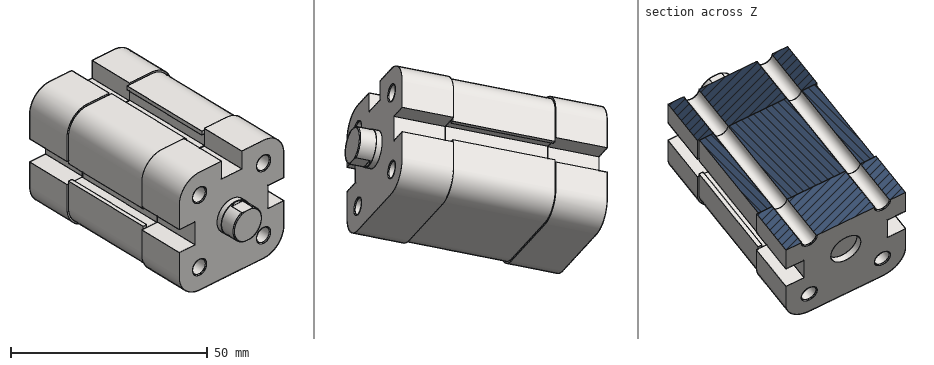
import cadquery as cq


total_length = 63.0
cap_length = 14.25
tube_length = 28.35
tube_start = cap_length
front_cap_start = tube_start + tube_length
front_face = front_cap_start + cap_length

cap_width = 36.0
cap_corner_radius = 7.0
tube_inset = 0.5
tube_width = cap_width - 2 * tube_inset
tube_corner_radius = cap_corner_radius - tube_inset

screw_spacing = cap_width - 2 * cap_corner_radius
screw_diameter = 4.35
screw_mouth_diameter = 4.85
screw_chamfer = (screw_mouth_diameter - screw_diameter) / 2

slot_width = 7.0
cap_slot_floor = 12.55
tube_slot_mouth = 5.3
tube_slot_floor = 12.8
slot_lip = 1.2
slot_angles = (-90, 0, 90)

recess_diameter = 9.0
recess_depth = 1.9

rod_diameter = 10.0
rod_tip_diameter = 9.75
rod_shoulder_length = 1.6
rod_step = front_face + rod_shoulder_length
rod_flat_width = 9.0
rod_flat_ramp = (rod_diameter - rod_flat_width) / 2
rod_end_chamfer = 0.25


def square_bar(start, length, width, corner_radius):
    """Bar along X with rounded long edges."""
    return (
        cq.Workplane("YZ", origin=(start, 0, 0))
        .rect(width, width)
        .extrude(length)
        .edges("|X")
        .fillet(corner_radius)
    )


def slot_cutters(start, length, width, floor, top):
    """Rectangular cutters along X on the top and both sides, from floor to top."""
    cutter = cq.Workplane("XY").box(length, width, top - floor, centered=(False, True, False))
    cutter = cutter.translate((start, 0, floor))
    cutters = cq.Workplane("XY")
    for angle in slot_angles:
        cutters.add(cutter.rotate((0, 0, 0), (1, 0, 0), angle))
    return cutters.combine()


def screw_holes(start, length):
    """Four plain cylinders for the screw holes."""
    return (
        cq.Workplane("YZ", origin=(start, 0, 0))
        .rect(screw_spacing, screw_spacing, forConstruction=True)
        .vertices()
        .circle(screw_diameter / 2)
        .extrude(length)
    )


def end_cap(start, outer_face_selector):
    """Cap with three slots and four screw holes that are chamfered on its outer face."""
    cap = square_bar(start, cap_length, cap_width, cap_corner_radius)
    cap = cap.cut(slot_cutters(start, cap_length, slot_width, cap_slot_floor, cap_width / 2))
    cap = cap.cut(screw_holes(start, cap_length))
    screw_mouths = cap.faces(outer_face_selector).edges("%CIRCLE").edges(cq.selectors.RadiusNthSelector(0))
    return screw_mouths.chamfer(screw_chamfer)


def make_rear_cap():
    """Rear cap with a shallow round recess in its outer face."""
    recess = cq.Workplane("YZ").circle(recess_diameter / 2).extrude(recess_depth)
    return end_cap(0, "<X").cut(recess)


def make_front_cap():
    """Front cap with a through bore for the rod."""
    bore = cq.Workplane("YZ", origin=(front_cap_start, 0, 0)).circle(rod_diameter / 2).extrude(cap_length)
    return end_cap(front_cap_start, ">X").cut(bore)


def make_tube():
    """Tube whose slots are narrowed at the mouth by a lip on each side."""
    tube_half = tube_width / 2
    lip_underside = tube_half - slot_lip
    tube = square_bar(tube_start, tube_length, tube_width, tube_corner_radius)
    tube = tube.cut(slot_cutters(tube_start, tube_length, tube_slot_mouth, tube_slot_floor, tube_half))
    tube = tube.cut(slot_cutters(tube_start, tube_length, slot_width, tube_slot_floor, lip_underside))
    return tube.cut(screw_holes(tube_start, tube_length))


def make_rod():
    """Stepped rod whose tip has two flats, each running out in a 45 degree ramp."""
    rod = (
        cq.Workplane("YZ", origin=(front_cap_start, 0, 0))
        .circle(rod_diameter / 2)
        .extrude(rod_step - front_cap_start)
    )
    tip = (
        cq.Workplane("YZ", origin=(rod_step, 0, 0))
        .circle(rod_tip_diameter / 2)
        .extrude(total_length - rod_step)
        .faces(">X")
        .edges()
        .chamfer(rod_end_chamfer)
    )
    rod = rod.union(tip)
    flat_cutter = (
        cq.Workplane("XZ")
        .moveTo(rod_step, rod_diameter / 2)
        .lineTo(rod_step + rod_flat_ramp, rod_flat_width / 2)
        .lineTo(total_length, rod_flat_width / 2)
        .lineTo(total_length, rod_diameter / 2)
        .close()
        .extrude(rod_diameter / 2, both=True)
    )
    return rod.cut(flat_cutter).cut(flat_cutter.mirror("XY"))


rear_cap = make_rear_cap()
tube = make_tube()
front_cap = make_front_cap()
rod = make_rod()

result = cq.Compound.makeCompound([rear_cap.val(), tube.val(), front_cap.val(), rod.val()])